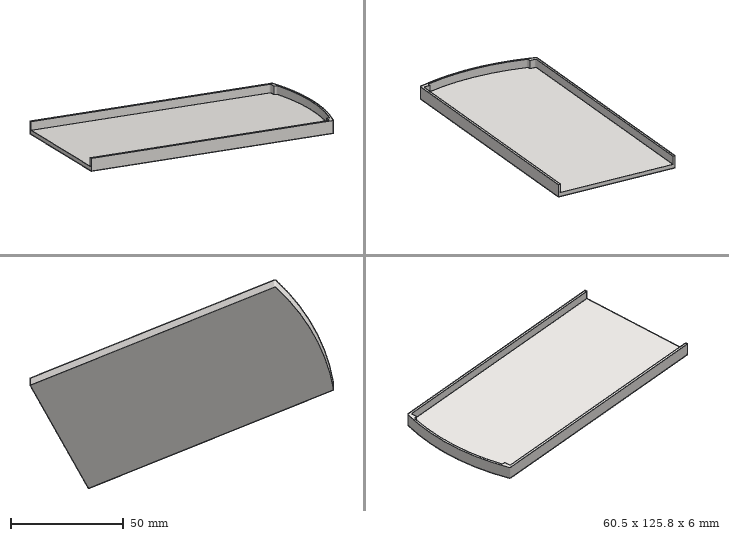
import cadquery as cq
import math

width = 60.5
length = 125.8
height = 6.0

floor_thickness = 2.0
side_wall = 1.1
arch_wall = 1.0
arch_rise = 4.7
corner_radius = 0.8

block_reach = 4.3
block_depth = 6.0
inner_radius = 0.8

half_width = width / 2
front_y = -length / 2
crown_y = length / 2
shoulder_y = crown_y - arch_rise
arch_radius = (half_width**2 + arch_rise**2) / (2 * arch_rise)
arch_center_y = crown_y - arch_radius


def arch_y(x, radius):
    """Height in Y of an arc concentric with the arched end."""
    return arch_center_y + math.sqrt(radius**2 - x**2)


def make_body():
    """Solid plate with one arched end and slightly rounded shoulders."""
    body = (
        cq.Workplane("XY")
        .moveTo(-half_width, front_y)
        .lineTo(half_width, front_y)
        .lineTo(half_width, shoulder_y)
        .threePointArc((0, crown_y), (-half_width, shoulder_y))
        .close()
        .extrude(height)
    )
    shoulders = cq.selectors.BoxSelector(
        (-width, shoulder_y - side_wall, -height),
        (width, shoulder_y + side_wall, 2 * height),
    )
    return body.edges("|Z").edges(shoulders).fillet(corner_radius)


def make_cavity():
    """Space above the floor, open at the front and stepped at the blocks."""
    inner_x = half_width - side_wall
    block_x = half_width - block_reach
    block_y = crown_y - block_depth
    inner_arch_radius = arch_radius - arch_wall
    arch_end_y = arch_y(block_x, inner_arch_radius)
    cavity = (
        cq.Workplane("XY", origin=(0, 0, floor_thickness))
        .moveTo(-inner_x, front_y)
        .lineTo(inner_x, front_y)
        .lineTo(inner_x, block_y)
        .lineTo(block_x, block_y)
        .lineTo(block_x, arch_end_y)
        .threePointArc((0, crown_y - arch_wall), (-block_x, arch_end_y))
        .lineTo(-block_x, block_y)
        .lineTo(-inner_x, block_y)
        .close()
        .extrude(height - floor_thickness)
    )
    for corner_x, corner_y in ((inner_x, block_y), (block_x, arch_end_y)):
        for side in (-1, 1):
            corner = cq.selectors.NearestToPointSelector((side * corner_x, corner_y, height / 2))
            cavity = cavity.edges("|Z").edges(corner).fillet(inner_radius)
    return cavity


result = make_body().cut(make_cavity())